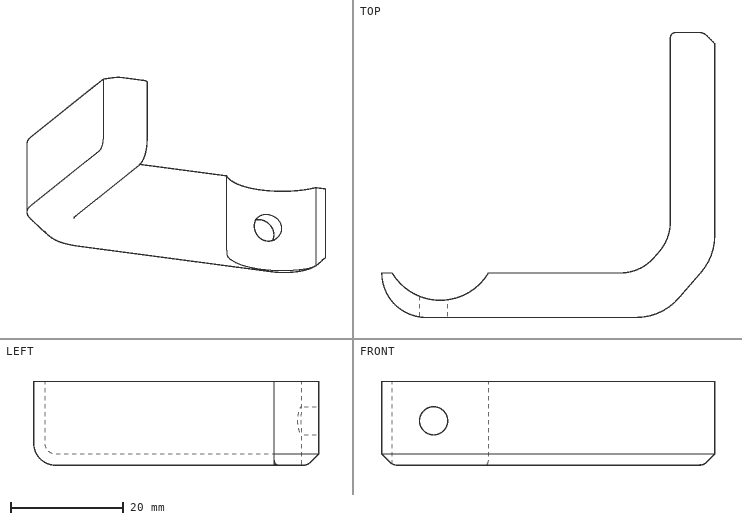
import cadquery as cq

length_x = 59.5
length_y = 50.95
height = 15.0
arm_thickness = 8.0

outer_cut_x = 9.45
outer_cut_y = 10.9
outer_round = 10.0
inner_cut_x = 5.3
inner_cut_y = 6.1
inner_round = arm_thickness

tip_round = arm_thickness
notch_radius = 10.0
notch_x = 10.5
notch_depth = 4.9

hole_diameter = 5.0
hole_x = 9.3
hole_z = 8.0

end_corner_round = 4.0
outer_chamfer = 2.0
chamfer_blend = 2.0
inner_edge_round = 1.0

inner_x = length_x - arm_thickness
tolerance = 0.005


def vertical_edges_at(body, points):
    """Collect the vertical edges that stand on the given (x, y) points."""
    edges = body.edges("|Z")
    return edges.filter(
        lambda edge: any(
            abs(edge.Center().x - x) < tolerance and abs(edge.Center().y - y) < tolerance
            for x, y in points
        )
    )


def make_arms():
    """L-shaped bar with a rounded elbow, hook tip and free-end corner."""
    outer_bends = [(length_x - outer_cut_x, 0), (length_x, outer_cut_y)]
    inner_bends = [(inner_x, arm_thickness + inner_cut_y), (inner_x - inner_cut_x, arm_thickness)]
    body = (
        cq.Workplane("XY")
        .moveTo(0, tip_round)
        .radiusArc((tip_round, 0), -tip_round)
        .polyline(outer_bends + [(length_x, length_y), (inner_x, length_y)] + inner_bends,
                  includeCurrent=True)
        .close()
        .extrude(height)
    )
    body = vertical_edges_at(body, outer_bends).fillet(outer_round)
    body = vertical_edges_at(body, inner_bends).fillet(inner_round)
    return body.faces(">Y").edges("<Z").fillet(end_corner_round)


def chamfer_outer_rim(body):
    """Chamfer the outer rim and blend the chamfer into the bottom and the free end."""
    body = body.faces(">Y").edges(">X").chamfer(outer_chamfer)
    return body.faces(">Y").edges(">X").fillet(chamfer_blend)


def round_inner_rim(body):
    """Round the inner rim from the free end to the notch."""
    return body.faces(">Y").edges("<X").fillet(inner_edge_round)


def make_notch():
    """Round seat cut through the full height of the hook."""
    center_y = arm_thickness - notch_depth + notch_radius
    return cq.Workplane("XY").center(notch_x, center_y).circle(notch_radius).extrude(height)


def make_hole():
    """Round hole running along Y from the outer face into the notch."""
    return (
        cq.Workplane("XZ", origin=(hole_x, arm_thickness, hole_z))
        .circle(hole_diameter / 2)
        .extrude(arm_thickness)
    )


hook = chamfer_outer_rim(make_arms()).cut(make_notch())
result = round_inner_rim(hook).cut(make_hole())